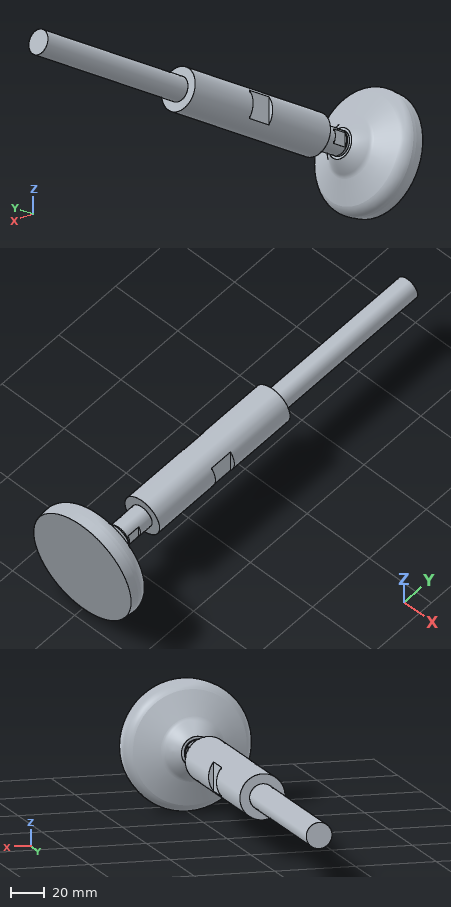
import cadquery as cq

TOTAL_LENGTH = 286.5

FOOT_DIAMETER = 80.0
FOOT_RADIUS = FOOT_DIAMETER / 2
SOLE_RADIUS = 39.3
RIM_BOTTOM = 6.0
RIM_TOP = 8.5
SHOULDER_RADIUS = 35.2
SHOULDER_HEIGHT = 15.5
SHOULDER_BULGE_RADIUS = 38.5
SHOULDER_BULGE_HEIGHT = 12.5
CONE_TOP_RADIUS = 19.8
CONE_TOP_HEIGHT = 21.5
HOLLOW_RADIUS = 18.3
HOLLOW_HEIGHT = 22.3
DOME_BASE_RADIUS = 17.5
DOME_BASE_HEIGHT = 23.2
DOME_BULGE_RADIUS = 14.0
DOME_BULGE_HEIGHT = 27.2
DOME_TOP_RADIUS = 9.7
DOME_TOP_HEIGHT = 30.5
NECK_HEIGHT = 1.7
FOOT_HEIGHT = DOME_TOP_HEIGHT + NECK_HEIGHT

SPINDLE_RADIUS = 8.0
SPINDLE_FLAT_BOTTOM = 33.0
SPINDLE_FLAT_LENGTH = 9.5
SPINDLE_FLAT_WIDTH = 13.2

SLEEVE_RADIUS = 14.0
SLEEVE_BOTTOM = 52.7
SLEEVE_LENGTH = 115.0
SLEEVE_FLAT_LENGTH = 16.5
SLEEVE_FLAT_WIDTH = 21.8


def cylinder_along_y(radius, start, length):
    """Cylinder on the Y axis, from Y = start towards +Y."""
    return cq.Workplane("XZ", origin=(0, start, 0)).circle(radius).extrude(-length)


def cut_flats(body, radius, width, start, length):
    """Cut two parallel flats facing -X and +X, leaving the given width."""
    depth = radius - width / 2
    for side in (-1, 1):
        cutter = cq.Workplane("XY").box(2 * depth, length, 2 * radius)
        offset = side * (width / 2 + depth)
        body = body.cut(cutter.translate((offset, start + length / 2, 0)))
    return body


def make_foot():
    """Solid of revolution: rim, shoulder, cone, hollow, dome and a short neck."""
    profile = (
        cq.Workplane("XY")
        .lineTo(SOLE_RADIUS, 0)
        .lineTo(FOOT_RADIUS, RIM_BOTTOM)
        .lineTo(FOOT_RADIUS, RIM_TOP)
        .threePointArc(
            (SHOULDER_BULGE_RADIUS, SHOULDER_BULGE_HEIGHT),
            (SHOULDER_RADIUS, SHOULDER_HEIGHT),
        )
        .lineTo(CONE_TOP_RADIUS, CONE_TOP_HEIGHT)
        .threePointArc(
            (HOLLOW_RADIUS, HOLLOW_HEIGHT),
            (DOME_BASE_RADIUS, DOME_BASE_HEIGHT),
        )
        .threePointArc(
            (DOME_BULGE_RADIUS, DOME_BULGE_HEIGHT),
            (DOME_TOP_RADIUS, DOME_TOP_HEIGHT),
        )
        .lineTo(SPINDLE_RADIUS, DOME_TOP_HEIGHT)
        .lineTo(SPINDLE_RADIUS, FOOT_HEIGHT)
        .lineTo(0, FOOT_HEIGHT)
    )
    return profile.close().revolve(360, (0, 0, 0), (0, 1, 0))


def make_spindle():
    """Rod standing on the foot and running through the sleeve."""
    rod = cylinder_along_y(SPINDLE_RADIUS, FOOT_HEIGHT, TOTAL_LENGTH - FOOT_HEIGHT)
    return cut_flats(
        rod, SPINDLE_RADIUS, SPINDLE_FLAT_WIDTH,
        SPINDLE_FLAT_BOTTOM, SPINDLE_FLAT_LENGTH,
    )


def make_sleeve():
    """Tube around the spindle."""
    sleeve = cylinder_along_y(SLEEVE_RADIUS, SLEEVE_BOTTOM, SLEEVE_LENGTH)
    sleeve = sleeve.cut(cylinder_along_y(SPINDLE_RADIUS, SLEEVE_BOTTOM, SLEEVE_LENGTH))
    flat_start = SLEEVE_BOTTOM + (SLEEVE_LENGTH - SLEEVE_FLAT_LENGTH) / 2
    return cut_flats(
        sleeve, SLEEVE_RADIUS, SLEEVE_FLAT_WIDTH, flat_start, SLEEVE_FLAT_LENGTH,
    )


foot = make_foot()
spindle = make_spindle()
sleeve = make_sleeve()

result = cq.Compound.makeCompound([foot.val(), spindle.val(), sleeve.val()])